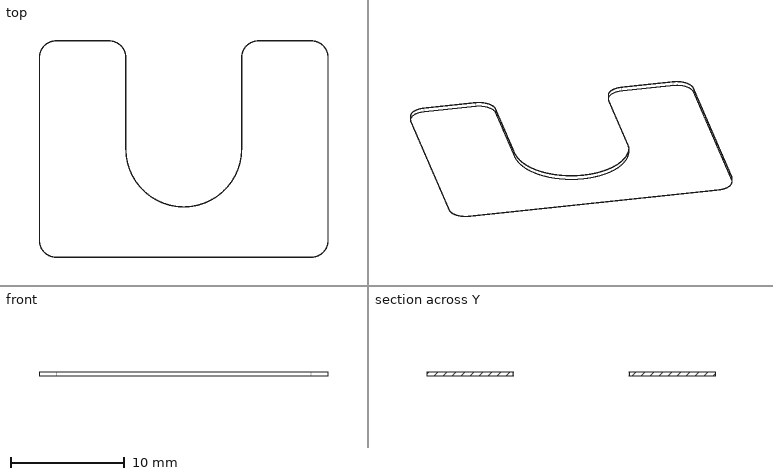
import cadquery as cq

width = 25.4
depth = 19.05
thickness = 0.38
corner_radius = 1.5

slot_width = 10.15
web_depth = 4.45

slot_radius = slot_width / 2
slot_center_y = -depth / 2 + web_depth + slot_radius
slot_straight = depth / 2 - slot_center_y


def make_plate():
    return cq.Workplane("XY").box(width, depth, thickness)


def make_slot():
    """Straight channel to the +Y edge plus its round closed end."""
    channel = (
        cq.Workplane("XY")
        .center(0, slot_center_y + slot_straight / 2)
        .box(slot_width, slot_straight, thickness)
    )
    round_end = (
        cq.Workplane("XY", origin=(0, slot_center_y, -thickness / 2))
        .circle(slot_radius)
        .extrude(thickness)
    )
    return channel.union(round_end)


plate = make_plate().edges("|Z").fillet(corner_radius)
slotted = plate.cut(make_slot())
margin = 0.25
mouth_corners = slotted.edges(
    cq.selectors.BoxSelector(
        (-slot_radius - margin, depth / 2 - margin, -thickness),
        (slot_radius + margin, depth / 2 + margin, thickness),
    )
).edges("|Z")
result = mouth_corners.fillet(corner_radius)